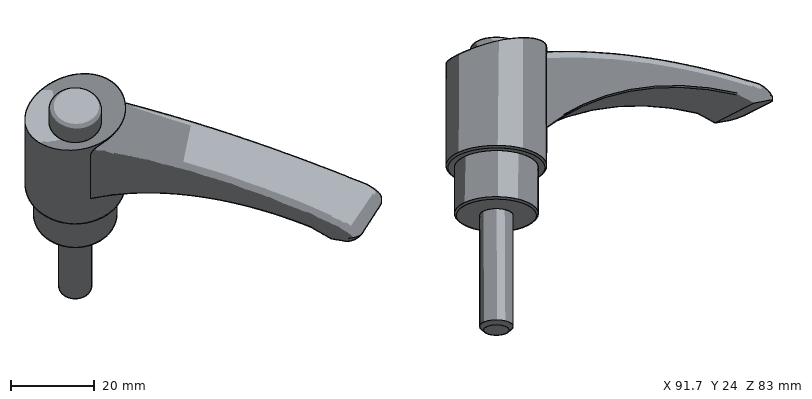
import cadquery as cq

COLLAR_BOTTOM = 29.9
HUB_BOTTOM = 42.4
DISH_FLOOR = 68.2
BUTTON_TOP = 74.1

STUD_RADIUS = 8.0 / 2
STUD_CHAMFER = 0.9
COLLAR_RADIUS = 20.0 / 2
HUB_RADIUS = 24.0 / 2
BUTTON_RADIUS = 12.6 / 2
BUTTON_ROUNDING = 1.5
EDGE_CHAMFER = 0.5

RIM_ARC_REACH = 13.75
RIM_ARC_LOW = 67.7
RIM_ARC_MIDDLE = 72.1
RIM_ARC_HIGH = 74.1

LEVER_TOP = 83.0
LEVER_TIP = (91.7 - HUB_RADIUS, 79.8)
LEVER_START_X = 4.6
LEVER_TOP_START = (LEVER_START_X, 71.3)
LEVER_TOP_MIDDLE = (37.6, 79.9)
LEVER_TOP_END = (73.3, LEVER_TOP)
LEVER_NOSE_MIDDLE = (77.7, 81.9)
LEVER_HEEL = (72.5, 76.6)
LEVER_NECK = (67.4, 77.6)
LEVER_UNDER_MIDDLE = (34.8, 69.4)
LEVER_UNDER_START = (LEVER_START_X, 48.2)

ROOT_HALF_WIDTH = 8.6
WAIST_HALF_WIDTH = 7.3
END_HALF_WIDTH = 7.8
WAIST_X = 45.8
END_CORNER_RADIUS = 3.2
LEVER_TOP_ROUNDING = 2.2
LEVER_UNDER_ROUNDING = 0.4
EDGE_SORTING_HEIGHT = 78.8


def cylinder(radius, bottom, top):
    return cq.Workplane("XY").workplane(offset=bottom).circle(radius).extrude(top - bottom)


def make_hub():
    """Cylinder with a sloping rim and a dish narrowing to a flat floor at the button."""
    side_profile = (
        cq.Workplane("XZ")
        .moveTo(-RIM_ARC_REACH, 0)
        .lineTo(-RIM_ARC_REACH, RIM_ARC_LOW)
        .threePointArc((0, RIM_ARC_MIDDLE), (RIM_ARC_REACH, RIM_ARC_HIGH))
        .lineTo(RIM_ARC_REACH, 0)
        .close()
        .extrude(RIM_ARC_REACH, both=True)
    )
    body = cylinder(HUB_RADIUS, HUB_BOTTOM, LEVER_TOP).intersect(side_profile)
    body = body.faces("<Z").chamfer(EDGE_CHAMFER)

    top_face = body.faces(">Z").val()
    floor_edge = cq.Edge.makeCircle(BUTTON_RADIUS, cq.Vector(0, 0, DISH_FLOOR))
    dish_wall = cq.Face.makeRuledSurface(top_face.outerWire(), cq.Wire.assembleEdges([floor_edge]))
    dish_floor = cq.Face.makeFromWires(cq.Wire.assembleEdges([floor_edge]))
    kept_faces = [face for face in body.faces().vals() if not face.isSame(top_face)]
    shell = cq.Shell.makeShell(kept_faces + dish_wall.Faces() + [dish_floor])
    return cq.Workplane(cq.Solid.makeSolid(shell).fix())


def make_lever():
    """Curved lever with a waisted plan shape and rounded upper edges."""
    side_profile = (
        cq.Workplane("XZ")
        .moveTo(*LEVER_TOP_START)
        .threePointArc(LEVER_TOP_MIDDLE, LEVER_TOP_END)
        .threePointArc(LEVER_NOSE_MIDDLE, LEVER_TIP)
        .lineTo(*LEVER_HEEL)
        .lineTo(*LEVER_NECK)
        .threePointArc(LEVER_UNDER_MIDDLE, LEVER_UNDER_START)
        .close()
        .extrude(HUB_RADIUS, both=True)
    )
    plan = (
        cq.Workplane("XY")
        .moveTo(LEVER_START_X, -ROOT_HALF_WIDTH)
        .threePointArc((WAIST_X, -WAIST_HALF_WIDTH), (LEVER_TIP[0], -END_HALF_WIDTH))
        .lineTo(LEVER_TIP[0], END_HALF_WIDTH)
        .threePointArc((WAIST_X, WAIST_HALF_WIDTH), (LEVER_START_X, ROOT_HALF_WIDTH))
        .close()
        .extrude(LEVER_TOP)
    )
    rounded_end = (
        cq.Workplane("XY")
        .rect(2 * LEVER_TIP[0], 2 * END_HALF_WIDTH)
        .extrude(LEVER_TOP)
        .edges("|Z and >X")
        .fillet(END_CORNER_RADIUS)
    )
    root_block = cq.Workplane("XY").rect(2 * WAIST_X, 2 * HUB_RADIUS).extrude(LEVER_TOP)
    lever = side_profile.intersect(plan)
    flank_outline = lever.edges("not(|Y or |Z)").vals()
    upper_edges = [edge for edge in flank_outline if edge.Center().z > EDGE_SORTING_HEIGHT]
    lower_edges = [edge for edge in flank_outline if edge.Center().z < EDGE_SORTING_HEIGHT]
    lever = lever.newObject(upper_edges).fillet(LEVER_TOP_ROUNDING)
    lever = lever.newObject(lower_edges).fillet(LEVER_UNDER_ROUNDING)
    return lever.intersect(rounded_end.union(root_block))


stud = cylinder(STUD_RADIUS, 0, HUB_BOTTOM).faces("<Z").chamfer(STUD_CHAMFER)
collar = cylinder(COLLAR_RADIUS, COLLAR_BOTTOM, HUB_BOTTOM).faces("<Z").chamfer(EDGE_CHAMFER)
button = cylinder(BUTTON_RADIUS, DISH_FLOOR, BUTTON_TOP).faces(">Z").fillet(BUTTON_ROUNDING)
lever = make_lever().cut(cylinder(HUB_RADIUS, 0, LEVER_TOP))

result = make_hub().union(stud).union(collar).union(button).union(lever)